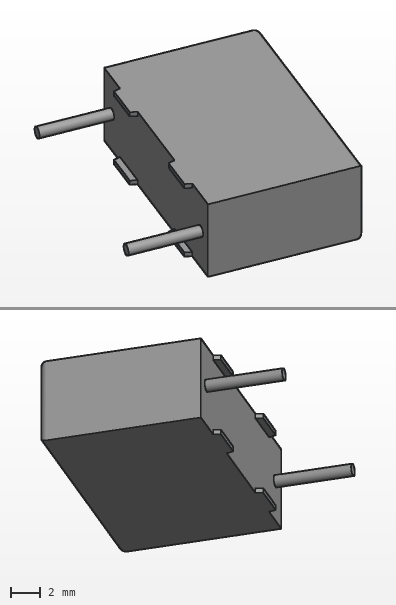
import cadquery as cq

HOUSING_WIDTH = 17.5
HOUSING_LENGTH = 11.5
HOUSING_HEIGHT = 6.0
END_ROUNDING = 0.5

TAB_BASE_WIDTH = 3.0
TAB_TIP_WIDTH = 2.66
TAB_PROJECTION = 0.5
TAB_THICKNESS = 0.35
TAB_SPACING = 9.2

PIN_DIAMETER = 0.85
PIN_LENGTH = 5.5
PIN_SPACING = 15.0

HALF_HEIGHT = HOUSING_HEIGHT / 2


def standoff_tab(center_x, bottom_z):
    """Tapered tab projecting from the pin face towards -Y."""
    half_base = TAB_BASE_WIDTH / 2
    half_tip = TAB_TIP_WIDTH / 2
    return (
        cq.Workplane("XY", origin=(center_x, 0, bottom_z))
        .polyline([
            (-half_base, 0),
            (half_base, 0),
            (half_tip, -TAB_PROJECTION),
            (-half_tip, -TAB_PROJECTION),
        ])
        .close()
        .extrude(TAB_THICKNESS)
    )


def make_housing():
    """Box with a rounded end and four standoff tabs on the pin face."""
    body = (
        cq.Workplane("XY")
        .box(HOUSING_WIDTH, HOUSING_LENGTH, HOUSING_HEIGHT, centered=(True, False, True))
        .faces(">Y")
        .edges()
        .fillet(END_ROUNDING)
    )
    for side in (-1, 1):
        for bottom_z in (-HALF_HEIGHT, HALF_HEIGHT - TAB_THICKNESS):
            body = body.union(standoff_tab(side * TAB_SPACING / 2, bottom_z))
    return body


def make_pin(center_x):
    """Straight round wire standing on the pin face and pointing towards -Y."""
    return (
        cq.Workplane("XZ", origin=(center_x, 0, 0))
        .circle(PIN_DIAMETER / 2)
        .extrude(PIN_LENGTH)
    )


housing = make_housing()
pins = [make_pin(side * PIN_SPACING / 2) for side in (-1, 1)]

result = cq.Compound.makeCompound([housing.val(), *[pin.val() for pin in pins]])